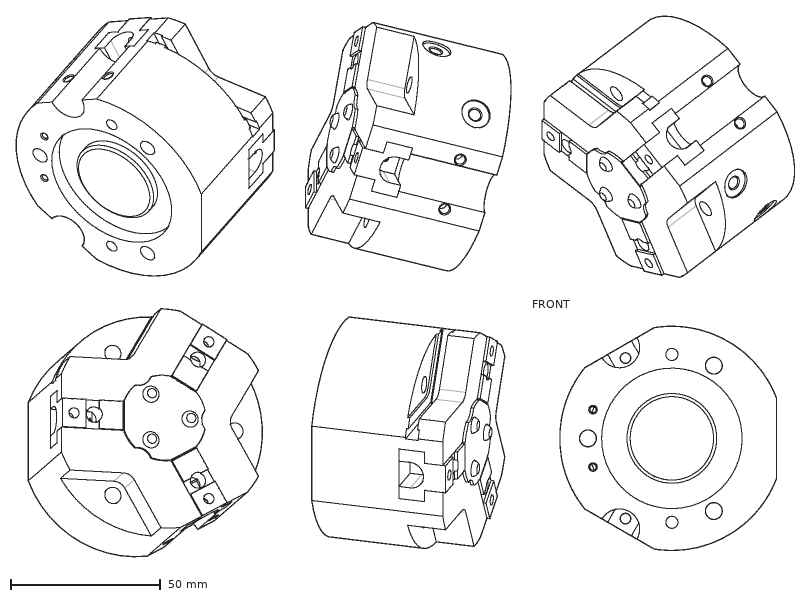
import cadquery as cq
import math


body_radius = 37.5
body_length = 46.05
flat_distance = 35.0
jaw_angles = (0, 120, 240)
grooved_angles = (120, 240)
notch_angles = (60, 180, 300)
long_cut = 2 * body_radius

recess_radius = 23.5
recess_depth = 4.8
boss_radius = 15.0
boss_setback = 1.6
boss_chamfer_width = 1.05
boss_chamfer_length = 0.75

bolt_circle_radius = 28.05
mount_hole_radius = 2.8
dowel_angles = (90, 270)
dowel_hole_radius = 2.0
dowel_hole_depth = 7.5
air_hole_radius = 1.05
air_hole_chamfer = 0.4
drill_point_half_angle = math.radians(59)

notch_floor_y = 32.8
notch_apex_radius = 22.4
notch_half_angle = 60
notch_root_radius = 4.35

sensor_angle = 60
sensor_apex_radius = 14.85
sensor_slot_y = 35.2
sensor_floor_width = 4.5
sensor_floor_height = 3.2
sensor_neck_width = 3.3

groove_radius = 6.75
groove_axis_radius = flat_distance
side_hole_radius = 1.65
side_hole_chamfer = 0.4
side_hole_depth = 6.0
side_hole_spacing = 17.85
side_hole_y = 13.65

ports = ((160, 25.6), (200, 11.6))
port_face_radius = 36.5
port_spot_radius = 4.95
port_hole_radius = 2.0
port_hole_chamfer = 0.4
port_hole_depth = port_face_radius - bolt_circle_radius

cover_thickness = 1.0
cover_radius = 14.55
cover_flat_distance = 13.6
cover_relief_radius = 4.9
cover_relief_position = 17.9
screw_circle_radius = 9.0
screw_base_radius = 2.8
screw_top_radius = 1.6
screw_head_height = 1.65
screw_middle_radius = 2.3
screw_middle_height = 0.9

jaw_inner_radius = 14.0
jaw_bottom_y = 30.6
jaw_shoulder_y = 39.7
jaw_top_y = body_length + cover_thickness
jaw_base_width = 17.85
jaw_neck_width = 9.75
jaw_slot_inner = 22.1
jaw_slot_outer = 26.8
pocket_radius = 4.6
pocket_center_y = 34.65
pocket_depth = 12.4
pin_hole_radius = 1.7
pin_hole_position = 31.0
inner_hole_radius = 2.6
inner_hole_position = 23.85
inner_hole_bottom_y = 38.3
floor_hole_radius = 0.9
floor_hole_chamfer = 0.2
floor_hole_depth = 4.5
floor_hole_y = 35.25


def turned(shape, angle):
    """Turn a shape about the gripper axis, from +X toward +Z."""
    return shape.rotate((0, 0, 0), (0, -1, 0), angle)


def plane_at(y):
    """Sketch plane across the gripper axis whose extrusions run toward the back."""
    return cq.Workplane(cq.Plane(origin=(0, y, 0), xDir=(-1, 0, 0), normal=(0, 1, 0)))


def cylinder(radius, start_y, end_y, x=0.0):
    """Cylinder along Y whose axis crosses the +X ray at x."""
    return plane_at(start_y).center(-x, 0).circle(radius).extrude(end_y - start_y)


def block(x_range, y_range, z_width):
    """Box centred on Z = 0."""
    x_size = x_range[1] - x_range[0]
    y_size = y_range[1] - y_range[0]
    center = (x_range[0] + x_size / 2, y_range[0] + y_size / 2, 0)
    return cq.Workplane("XY").box(x_size, y_size, z_width).translate(center)


def wedge(apex, start_y, end_y):
    """V-shaped cutter that opens outward along +X from its apex."""
    height = long_cut * math.tan(math.radians(notch_half_angle))
    corners = [(-apex, 0), (-apex - long_cut, height), (-apex - long_cut, -height)]
    return plane_at(start_y).polyline(corners).close().extrude(end_y - start_y)


def drilled_hole(radius, depth, chamfer):
    """Cutter for a blind drilled hole that starts at the origin and runs along +X."""
    point_length = radius / math.tan(drill_point_half_angle)
    profile = [
        (0, 0),
        (0, radius + chamfer),
        (chamfer, radius),
        (depth, radius),
        (depth + point_length, 0),
    ]
    if chamfer == 0:
        profile.remove((chamfer, radius))
    return cq.Workplane("XY").polyline(profile).close().revolve(360, (0, 0, 0), (1, 0, 0))


def front_hole(radius, depth, chamfer, angle):
    """Cutter for a blind hole in the front face, on the bolt circle."""
    hole = drilled_hole(radius, depth, chamfer).rotate((0, 0, 0), (0, 0, 1), 90)
    return turned(hole.translate((bolt_circle_radius, 0, 0)), angle)


def radial_hole(radius, depth, chamfer, face_radius):
    """Cutter for a blind hole that runs from the +X side toward the axis."""
    hole = drilled_hole(radius, depth, chamfer).rotate((0, 0, 0), (0, 0, 1), 180)
    return hole.translate((face_radius, 0, 0))


def t_shape():
    """T-shaped bar that a jaw is made from and that its slot is cut with."""
    base = block((jaw_inner_radius, flat_distance), (jaw_bottom_y, jaw_shoulder_y), jaw_base_width)
    neck = block((jaw_inner_radius, flat_distance), (jaw_shoulder_y, jaw_top_y), jaw_neck_width)
    return base.union(neck)


def make_jaw(angle):
    """One T-shaped jaw with its pocket and holes, turned to its angle."""
    jaw = t_shape()
    top_slot = block((jaw_slot_inner, jaw_slot_outer), (body_length, jaw_top_y), jaw_base_width)
    pocket_floor = flat_distance - pocket_depth
    pocket_round = (
        cq.Workplane("YZ", origin=(pocket_floor, pocket_center_y, 0))
        .circle(pocket_radius)
        .extrude(pocket_depth)
    )
    pocket_straight = block(
        (pocket_floor, flat_distance), (jaw_bottom_y, pocket_center_y), 2 * pocket_radius
    )
    pin_hole = cylinder(pin_hole_radius, pocket_center_y, jaw_top_y, pin_hole_position)
    inner_hole = cylinder(inner_hole_radius, inner_hole_bottom_y, jaw_top_y, inner_hole_position)
    floor_hole = radial_hole(floor_hole_radius, floor_hole_depth, floor_hole_chamfer, pocket_floor)
    floor_hole = floor_hole.translate((0, floor_hole_y, 0))
    for cutter in (top_slot, pocket_round, pocket_straight, pin_hole, inner_hole, floor_hole):
        jaw = jaw.cut(cutter)
    return turned(jaw, angle)


def make_cover():
    """Round cover plate with its three screw heads."""
    cover = cylinder(cover_radius, body_length, jaw_top_y)
    beyond_flat = block((cover_flat_distance, cover_radius), (body_length, jaw_top_y), long_cut)
    for angle in jaw_angles:
        cover = cover.cut(turned(beyond_flat, angle))
    relief = cylinder(cover_relief_radius, body_length, jaw_top_y, cover_relief_position)
    head = (
        cq.Workplane("XY")
        .lineTo(screw_base_radius, 0)
        .threePointArc((screw_middle_radius, screw_middle_height), (screw_top_radius, screw_head_height))
        .lineTo(0, screw_head_height)
        .close()
        .revolve(360, (0, 0, 0), (0, 1, 0))
        .translate((screw_circle_radius, jaw_top_y, 0))
    )
    for angle in notch_angles:
        cover = cover.cut(turned(relief, angle))
        cover = cover.union(turned(head, angle))
    return cover


def cut_front(housing):
    """Recess, boss and the holes of the bolt circle."""
    housing = housing.cut(cylinder(recess_radius, 0, recess_depth))
    boss = (
        cylinder(boss_radius, boss_setback, recess_depth)
        .faces("<Y").edges()
        .chamfer(boss_chamfer_length, boss_chamfer_width)
    )
    housing = housing.union(boss)
    for angle in notch_angles:
        mount_hole = cylinder(mount_hole_radius, 0, body_length, bolt_circle_radius)
        housing = housing.cut(turned(mount_hole, angle))
    for angle in dowel_angles:
        housing = housing.cut(front_hole(dowel_hole_radius, dowel_hole_depth, 0, angle))
    for angle, port_y in ports:
        housing = housing.cut(front_hole(air_hole_radius, port_y, air_hole_chamfer, angle))
    return housing


def cut_notches(housing):
    notch = wedge(notch_apex_radius, notch_floor_y, body_length)
    notch = notch.edges("|Y").edges("<X").fillet(notch_root_radius)
    for angle in notch_angles:
        housing = housing.cut(turned(notch, angle))
    return housing


def sensor_wedge(apex, width):
    """V-shaped cutter centred on the middle of the sensor slot."""
    return wedge(apex, sensor_slot_y - width / 2, sensor_slot_y + width / 2)


def cut_sensor_slot(housing):
    """Undercut V slot whose two legs stand square to the flats beside it."""
    neck_apex = sensor_apex_radius + sensor_floor_height / math.sin(math.radians(notch_half_angle))
    wide_floor = sensor_wedge(sensor_apex_radius, sensor_floor_width)
    wide_floor = wide_floor.cut(sensor_wedge(neck_apex, sensor_floor_width))
    neck = sensor_wedge(sensor_apex_radius, sensor_neck_width)
    return housing.cut(turned(wide_floor.union(neck), sensor_angle))


def cut_flat_details(housing):
    """Long groove and a pair of side holes in each grooved flat."""
    groove = cylinder(groove_radius, 0, jaw_bottom_y, groove_axis_radius)
    side_hole = radial_hole(side_hole_radius, side_hole_depth, side_hole_chamfer, flat_distance)
    for angle in grooved_angles:
        housing = housing.cut(turned(groove, angle))
        for offset in (-side_hole_spacing / 2, side_hole_spacing / 2):
            housing = housing.cut(turned(side_hole.translate((0, side_hole_y, offset)), angle))
    return housing


def cut_ports(housing):
    spot = cq.Workplane("YZ", origin=(port_face_radius, 0, 0)).circle(port_spot_radius).extrude(long_cut)
    hole = radial_hole(port_hole_radius, port_hole_depth, port_hole_chamfer, port_face_radius)
    for angle, y in ports:
        for cutter in (spot, hole):
            housing = housing.cut(turned(cutter.translate((0, y, 0)), angle))
    return housing


def make_housing():
    housing = cylinder(body_radius, 0, body_length)
    beyond_flat = block((flat_distance, long_cut), (0, body_length), long_cut)
    for angle in jaw_angles:
        housing = housing.cut(turned(beyond_flat, angle))
        housing = housing.cut(turned(t_shape(), angle))
    housing = cut_front(housing)
    housing = cut_notches(housing)
    housing = cut_sensor_slot(housing)
    housing = cut_flat_details(housing)
    housing = cut_ports(housing)
    return housing.union(make_cover())


housing = make_housing()
jaws = [make_jaw(angle) for angle in jaw_angles]

result = cq.Compound.makeCompound([housing.val(), *[jaw.val() for jaw in jaws]])